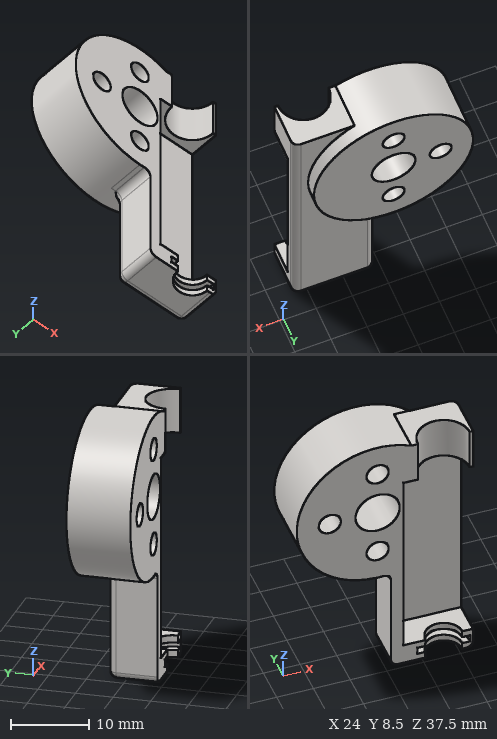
import cadquery as cq
import math


disc_radius = 11.0
disc_depth = 8.5
center_hole_diameter = 6.0
screw_hole_diameter = 3.0
screw_circle_radius = 6.5
screw_angles = (90, 180, 270)

arm_left = 1.8
arm_right = 13.0
arm_top = 10.0
arm_bottom = -26.5
arm_depth = 6.5
edge_radius = 1.0

pocket_left = 3.5
pocket_top = 4.0
pocket_depth = 4.5
bottom_wall = 3.0
pocket_bottom = arm_bottom + bottom_wall

seat_axis_x = 9.0
upper_seat_radius = 3.5
lower_seat_radius = 2.5
groove_radius = 3.6
groove_width = 1.0
groove_bottom = arm_bottom + (bottom_wall - groove_width) / 2


def front_plane():
    """XZ plane whose normal points to -Y, so a negative extrusion goes into the part."""
    return cq.Workplane("XZ")


def make_disc():
    return front_plane().circle(disc_radius).extrude(-disc_depth)


def make_arm():
    """Arm blended into the disc, with rounded corners and a rounded back edge."""
    blend_x = arm_left - edge_radius
    blend_reach = disc_radius + edge_radius
    blend_z = -math.sqrt(blend_reach**2 - blend_x**2)
    touch_ratio = disc_radius / blend_reach
    touch_point = (blend_x * touch_ratio, blend_z * touch_ratio)

    disc_mid_angle = math.atan2(blend_x, -blend_z) / 2
    disc_mid = (disc_radius * math.sin(disc_mid_angle), -disc_radius * math.cos(disc_mid_angle))
    blend_mid_angle = math.atan2(-blend_z, -blend_x) / 2
    blend_mid = (
        blend_x + edge_radius * math.cos(blend_mid_angle),
        blend_z + edge_radius * math.sin(blend_mid_angle),
    )

    arm = (
        front_plane()
        .moveTo(0, arm_top)
        .lineTo(0, -disc_radius)
        .threePointArc(disc_mid, touch_point)
        .threePointArc(blend_mid, (arm_left, blend_z))
        .lineTo(arm_left, arm_bottom)
        .lineTo(arm_right, arm_bottom)
        .lineTo(arm_right, arm_top)
        .close()
        .extrude(-arm_depth)
    )
    bottom_corners = arm.faces("<Z").edges("|Y")
    arm = bottom_corners.fillet(edge_radius)
    return arm.faces(">Y").edges(">X").fillet(edge_radius)


def make_holes():
    holes = front_plane().circle(center_hole_diameter / 2).extrude(-disc_depth)
    for angle in screw_angles:
        x = screw_circle_radius * math.cos(math.radians(angle))
        z = screw_circle_radius * math.sin(math.radians(angle))
        hole = front_plane().center(x, z).circle(screw_hole_diameter / 2).extrude(-disc_depth)
        holes = holes.union(hole)
    return holes


def make_pocket():
    return cq.Workplane("XY").box(
        arm_right - pocket_left,
        pocket_depth,
        pocket_top - pocket_bottom,
        centered=False,
    ).translate((pocket_left, 0, pocket_bottom))


def make_seat(radius, bottom, top):
    """Cylinder along Z on the seat axis; its back half cuts into the part."""
    return cq.Workplane("XY", origin=(seat_axis_x, 0, bottom)).circle(radius).extrude(top - bottom)


result = (
    make_arm()
    .union(make_disc())
    .cut(make_holes())
    .cut(make_pocket())
    .cut(make_seat(upper_seat_radius, pocket_top, arm_top))
    .cut(make_seat(lower_seat_radius, arm_bottom, pocket_bottom))
    .cut(make_seat(groove_radius, groove_bottom, groove_bottom + groove_width))
)